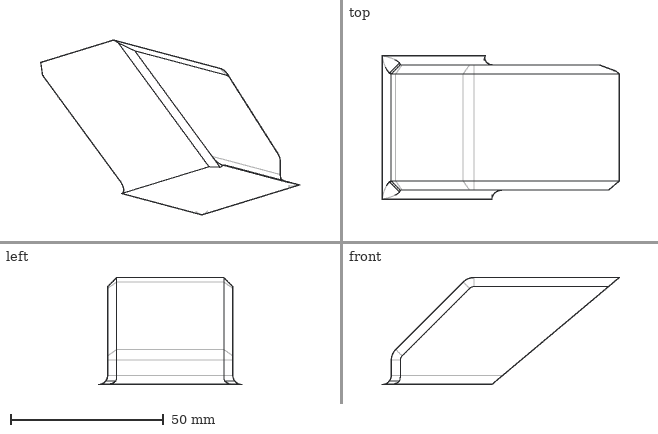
import cadquery as cq
import math

body_width = 41.0
body_height = 35.0
front_height = 10.0
slope_angle = 45.0
bend_radius = 5.0
side_chamfer = 3.0
half_width = body_width / 2
slope_run = (body_height - front_height) / math.tan(math.radians(slope_angle))

foot_radius = 3.0
foot_half_width = half_width + foot_radius

sole_rear_x = 32.96
rear_angle = 50.0
rear_run = body_height * math.tan(math.radians(rear_angle))
bevel_width = 2.0
bevel_depth = 3.1
foot_setback = 2.16

crease_offset = 0.6
crease_height = 1.2
floor_pull_offset = 1.6
floor_pull_height = 0.3
floor_flat_offset = 3.2

margin = 5.0
rear_limit = sole_rear_x + rear_run + margin


def make_body():
    """Extrude the bent side outline and chamfer its edges on both sides."""
    body = (
        cq.Workplane("XZ")
        .moveTo(0, 0)
        .lineTo(0, front_height)
        .lineTo(slope_run, body_height)
        .lineTo(rear_limit, body_height)
        .lineTo(rear_limit, 0)
        .close()
        .extrude(half_width, both=True)
    )
    bends = cq.selectors.BoxSelector(
        (-1, -half_width, front_height - 1),
        (slope_run + 1, half_width, body_height + 1),
    )
    body = body.edges("|Y").edges(bends).fillet(bend_radius)
    outline_edges = cq.selectors.BoxSelector(
        (-1, -half_width - 1, 1),
        (rear_limit - 1, half_width + 1, body_height + 1),
    )
    return body.faces("<Y or >Y").edges(outline_edges).chamfer(side_chamfer)


def make_foot():
    """Square-cornered flare: a slab grooved by mitred quarter-round coves."""
    slab = cq.Workplane("XY").box(
        rear_limit + foot_radius, 2 * foot_half_width, foot_radius, centered=(False, True, False)
    ).translate((-foot_radius, 0, 0))
    front_cove = (
        cq.Workplane("XZ", origin=(0, foot_half_width + margin, 0))
        .center(-foot_radius, foot_radius)
        .circle(foot_radius)
        .extrude(2 * (foot_half_width + margin))
    )
    foot = slab.cut(front_cove)
    for side in (-1, 1):
        side_cove = (
            cq.Workplane("YZ", origin=(-foot_radius - margin, 0, 0))
            .center(side * foot_half_width, foot_radius)
            .circle(foot_radius)
            .extrude(rear_limit + 2 * margin)
        )
        foot = foot.cut(side_cove)
    return foot


def make_corner_scoop():
    """Cutter that carries the -Y corner chamfer down through the foot to its corner point."""
    corner_offset = (2 * foot_radius + side_chamfer) / math.sqrt(2)
    cove_drop = foot_radius - crease_height
    cove_radius = (crease_offset**2 + cove_drop**2) / (2 * crease_offset)
    outward_plane = cq.Plane(
        origin=(0, -half_width + side_chamfer, 0), xDir=(-1, -1, 0), normal=(-1, 1, 0)
    )
    return (
        cq.Workplane(outward_plane)
        .moveTo(0, foot_radius)
        .radiusArc((crease_offset, crease_height), -cove_radius)
        .bezier(
            [(floor_pull_offset, floor_pull_height), (floor_flat_offset, 0), (corner_offset, 0)],
            includeCurrent=True,
        )
        .lineTo(corner_offset, foot_radius)
        .close()
        .extrude(body_width / 2, both=True)
    )


def make_rear_cutter():
    """Everything behind the rear face: a plan outline swept along the lean of that face."""
    bevel_start_y = half_width - bevel_width
    outline = cq.Wire.makePolygon(
        [
            cq.Vector(sole_rear_x, -foot_half_width - margin, 0),
            cq.Vector(sole_rear_x, bevel_start_y, 0),
            cq.Vector(sole_rear_x - bevel_depth, half_width, 0),
            cq.Vector(sole_rear_x - foot_setback, foot_half_width, 0),
            cq.Vector(sole_rear_x - foot_setback, foot_half_width + margin, 0),
            cq.Vector(rear_limit + margin, foot_half_width + margin, 0),
            cq.Vector(rear_limit + margin, -foot_half_width - margin, 0),
        ],
        close=True,
    )
    return cq.Solid.extrudeLinear(outline, [], cq.Vector(rear_run, 0, body_height))


scoop = make_corner_scoop()
foot = make_foot().cut(scoop).cut(scoop.mirror("XZ"))
result = make_body().union(foot).cut(cq.Workplane(obj=make_rear_cutter()))